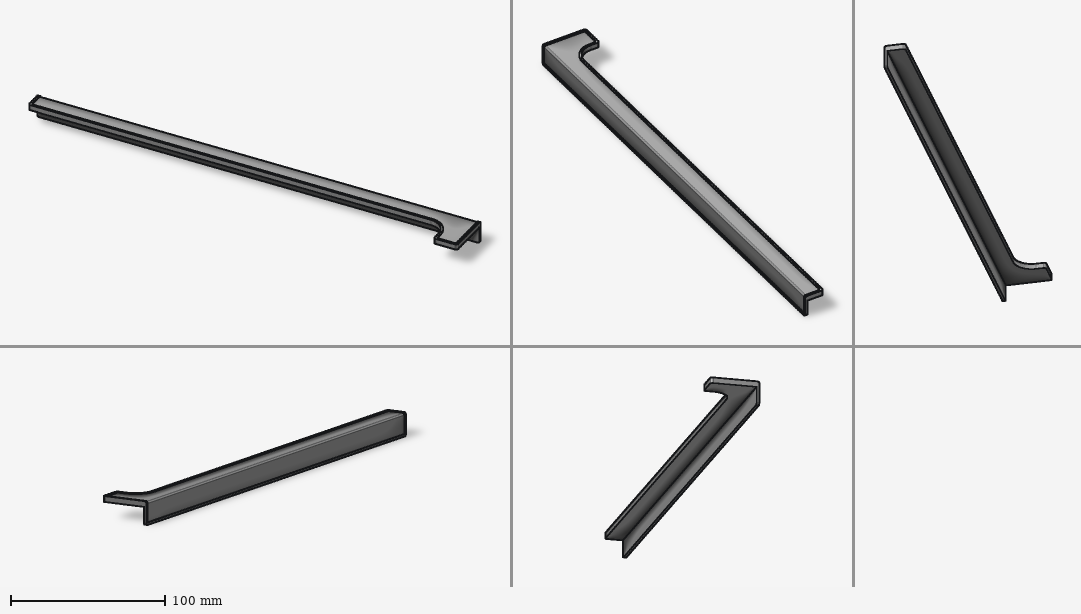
import cadquery as cq

length = 324.8
depth = 32.8
height = 16.0

plate_thickness = 4.0
bar_width = 14.0
leg_width = 17.2
inner_radius = 12.0

flange_thickness = 2.0

corner_radius = 1.5

rim_width = 1.5
recess_depth = 0.5
recess_corner_radius = 1.0


def nearest(x, y, z):
    """Selector for the edge whose centre is closest to a point."""
    return cq.selectors.NearestToPointSelector((x, y, z))


def l_prism(inset, thickness, convex_radius):
    """L-shaped slab below Z = 0, inset from the plate outline on all sides but the back."""
    left = inset
    right = length - inset
    front = -depth + inset
    bar_front = -bar_width + inset
    leg_left = length - leg_width + inset
    slab = (
        cq.Workplane("XY")
        .polyline([
            (left, 0),
            (right, 0),
            (right, front),
            (leg_left, front),
            (leg_left, bar_front),
            (left, bar_front),
        ])
        .close()
        .extrude(-thickness)
    )
    middle = -thickness / 2
    slab = slab.edges("|Z").edges(nearest(leg_left, bar_front, middle)).fillet(inner_radius + inset)
    for x, y in [(left, bar_front), (leg_left, front), (right, front)]:
        slab = slab.edges("|Z").edges(nearest(x, y, middle)).fillet(convex_radius)
    return slab


def back_wall(inset, thickness):
    """Upright wall along the back face, inset from the ends and the bottom of the part."""
    wall_height = height - inset
    wall = cq.Workplane("XY").box(length - 2 * inset, thickness, wall_height, centered=False)
    return wall.translate((inset, -thickness, -wall_height))


def make_body():
    """Plate and flange in one piece, with the back top edge rounded."""
    flange = back_wall(0, flange_thickness).edges("|Y and <Z").fillet(corner_radius)
    body = l_prism(0, plate_thickness, corner_radius).union(flange)
    return body.edges("|X and >Y and >Z").fillet(corner_radius)


def make_recess():
    """Thin skin of constant depth over the top and back faces, inside the rim."""
    window = l_prism(rim_width, corner_radius, recess_corner_radius)
    window = window.union(back_wall(rim_width, corner_radius))
    floor = (
        cq.Workplane("XY")
        .box(length, depth, height, centered=False)
        .translate((0, -depth - recess_depth, -height - recess_depth))
        .edges("|X and >Y and >Z")
        .fillet(corner_radius - recess_depth)
    )
    return window.cut(floor)


result = make_body().cut(make_recess())